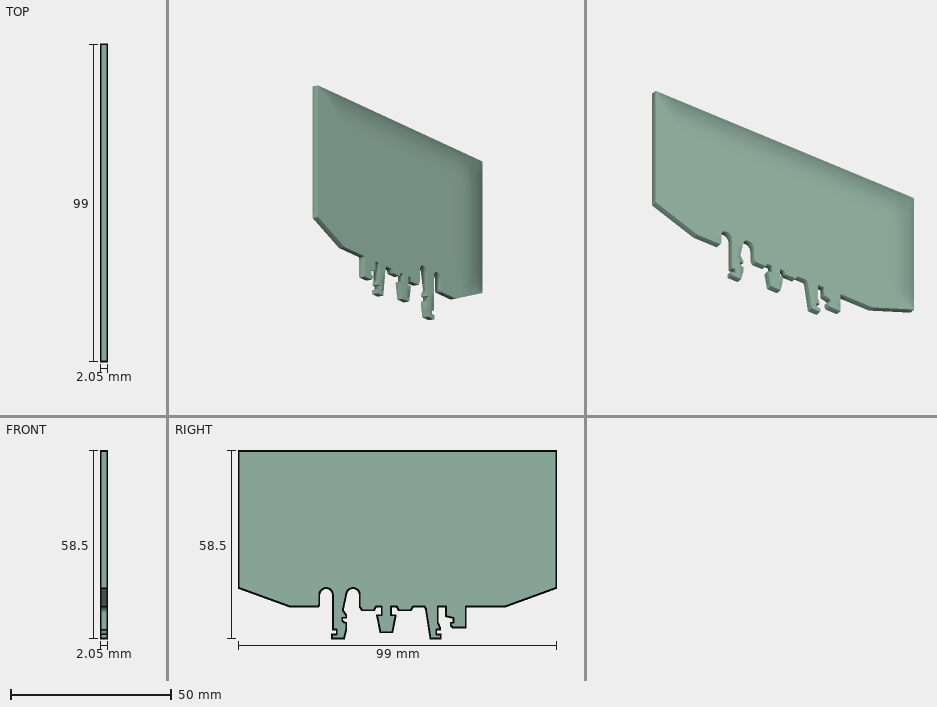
import math

import cadquery as cq

THICKNESS = 2.05
WIDTH = 99.0
HEIGHT = 58.5
EDGE_Z = 10.0
EDGE_HALF_WIDTH = 33.6
CORNER_ANGLE = 20.0

TOE_Z = 1.35
UNDERCUT_Z = 2.85

SLOT_TOP_Z = 15.75
SLOT_RADIUS = 2.07
SLOT_CENTER_Z = SLOT_TOP_Z - SLOT_RADIUS
LEFT_SLOT_Y = -13.87
RIGHT_SLOT_Y = -22.25
SLOT_LEAN = 12.0
SLOT_MOUTH_BREAK = 0.35
SLOT_MOUTH_BREAK_HEIGHT = 0.6

CLIP_Y = -3.47
STEM_HALF_WIDTH = 1.5
HEAD_TOP_Z = 7.33
HEAD_TOP_HALF_WIDTH = 2.95
HEAD_TIP_Z = 2.0
HEAD_TIP_HALF_WIDTH = 1.9
PAD_Z = 8.85
PAD_INNER = 3.25
PAD_OUTER = abs(LEFT_SLOT_Y - CLIP_Y) - SLOT_RADIUS
PAD_BEVEL_INNER = 0.55
PAD_BEVEL_OUTER = 0.7

HOOK_OUTER_Y = 21.35
HOOK_INNER_Y = 15.05
HOOK_TIP_Z = 3.48
HOOK_SHOULDER_Z = 7.0
HOOK_NOTCH_Y = 17.45
HOOK_NOTCH_TOP_Z = 6.42
HOOK_NOTCH_FLOOR_Z = 5.0
HOOK_LIP_Y = 16.55
HOOK_LIP_BEVEL = 0.6

OUTER_WALL_Y = 12.62
OUTER_BARB_TOP_Z = 4.95
OUTER_BARB_Y = 13.3
OUTER_BARB_TIP_Z = 3.4
OUTER_NOTCH_Y = 12.1
OUTER_TOE_Y = 13.55
OUTER_BACK_TIP_Y = 10.25
OUTER_BACK_TOP_Y = 8.8
OUTER_BACK_TOP_Z = 9.4
OUTER_BACK_ROOT_Y = 8.4

INNER_WALL_Y = RIGHT_SLOT_Y + SLOT_RADIUS
INNER_NOTCH_Y = -18.95
INNER_TOE_Y = -20.45
INNER_BACK_TIP_Y = -16.65
INNER_BACK_Y = -15.95
INNER_BACK_BEND_Z = 2.85
INNER_GROOVE_Y = -17.15
INNER_GROOVE_TOP_Z = 6.45
INNER_GROOVE_FLOOR_Z = 5.0
INNER_GROOVE_BEVEL = 0.6
INNER_BARB_Z = 7.3
INNER_WAIST_Z = 8.85


def extrude(outline):
    """Extrude a closed outline to the panel thickness, centered on X = 0."""
    return outline.extrude(THICKNESS / 2, both=True)


def plate(points):
    """Plate with straight sides through the given (Y, Z) corners."""
    return extrude(cq.Workplane("YZ").polyline(points).close())


def lean_wall_y(z):
    """Y of the leaning wall between the left slot and the inner finger."""
    lean = math.radians(SLOT_LEAN)
    reach = SLOT_RADIUS / math.cos(lean)
    return LEFT_SLOT_Y - reach - (SLOT_CENTER_Z - z) * math.tan(lean)


def panel():
    half_width = WIDTH / 2
    corner_rise = (half_width - EDGE_HALF_WIDTH) * math.tan(math.radians(CORNER_ANGLE))
    return plate([
        (half_width, HEIGHT),
        (half_width, EDGE_Z + corner_rise),
        (EDGE_HALF_WIDTH, EDGE_Z),
        (-EDGE_HALF_WIDTH, EDGE_Z),
        (-half_width, EDGE_Z + corner_rise),
        (-half_width, HEIGHT),
    ])


def left_slot():
    """Slot with one upright wall and one leaning wall tangent to its round top."""
    lean = math.radians(SLOT_LEAN)
    upright_y = LEFT_SLOT_Y + SLOT_RADIUS
    tangent_point = (
        LEFT_SLOT_Y - SLOT_RADIUS * math.cos(lean),
        SLOT_CENTER_Z + SLOT_RADIUS * math.sin(lean),
    )
    return extrude(
        cq.Workplane("YZ")
        .moveTo(upright_y, EDGE_Z)
        .lineTo(upright_y, SLOT_CENTER_Z)
        .threePointArc((LEFT_SLOT_Y, SLOT_TOP_Z), tangent_point)
        .lineTo(lean_wall_y(EDGE_Z), EDGE_Z)
        .close()
    )


def right_slot():
    """Slot with two upright walls, beveled where the far wall meets the edge."""
    far_y = RIGHT_SLOT_Y - SLOT_RADIUS
    return extrude(
        cq.Workplane("YZ")
        .moveTo(INNER_WALL_Y, EDGE_Z)
        .lineTo(INNER_WALL_Y, SLOT_CENTER_Z)
        .threePointArc((RIGHT_SLOT_Y, SLOT_TOP_Z), (far_y, SLOT_CENTER_Z))
        .lineTo(far_y, EDGE_Z + SLOT_MOUTH_BREAK_HEIGHT)
        .lineTo(far_y - SLOT_MOUTH_BREAK, EDGE_Z)
        .close()
    )


def center_clip():
    right_half = [
        (STEM_HALF_WIDTH, EDGE_Z),
        (STEM_HALF_WIDTH, HEAD_TOP_Z),
        (HEAD_TOP_HALF_WIDTH, HEAD_TOP_Z),
        (HEAD_TIP_HALF_WIDTH, HEAD_TIP_Z),
    ]
    one_side = [(CLIP_Y - offset, z) for offset, z in right_half]
    other_side = [(CLIP_Y + offset, z) for offset, z in reversed(right_half)]
    return plate(one_side + other_side)


def pad(side):
    """Beveled pad on the lower edge; side is +1 or -1 along Y from the clip."""
    return plate([
        (CLIP_Y + side * PAD_INNER, EDGE_Z),
        (CLIP_Y + side * (PAD_INNER + PAD_BEVEL_INNER), PAD_Z),
        (CLIP_Y + side * (PAD_OUTER - PAD_BEVEL_OUTER), PAD_Z),
        (CLIP_Y + side * PAD_OUTER, EDGE_Z),
    ])


def hook():
    return plate([
        (HOOK_OUTER_Y, EDGE_Z),
        (HOOK_OUTER_Y, HOOK_TIP_Z),
        (HOOK_LIP_Y + HOOK_LIP_BEVEL, HOOK_TIP_Z),
        (HOOK_LIP_Y, HOOK_TIP_Z + HOOK_LIP_BEVEL),
        (HOOK_LIP_Y, HOOK_NOTCH_FLOOR_Z),
        (HOOK_NOTCH_Y, HOOK_NOTCH_FLOOR_Z),
        (HOOK_NOTCH_Y, HOOK_NOTCH_TOP_Z),
        (HOOK_INNER_Y, HOOK_SHOULDER_Z),
        (HOOK_INNER_Y, EDGE_Z),
    ])


def outer_finger():
    return plate([
        (OUTER_WALL_Y, EDGE_Z),
        (OUTER_WALL_Y, OUTER_BARB_TOP_Z),
        (OUTER_BARB_Y, OUTER_BARB_TIP_Z),
        (OUTER_BARB_Y, UNDERCUT_Z),
        (OUTER_NOTCH_Y, UNDERCUT_Z),
        (OUTER_NOTCH_Y, TOE_Z),
        (OUTER_TOE_Y, TOE_Z),
        (OUTER_TOE_Y, 0),
        (OUTER_BACK_TIP_Y, 0),
        (OUTER_BACK_TOP_Y, OUTER_BACK_TOP_Z),
        (OUTER_BACK_ROOT_Y, EDGE_Z),
    ])


def inner_finger():
    return plate([
        (lean_wall_y(EDGE_Z), EDGE_Z),
        (lean_wall_y(INNER_WAIST_Z), INNER_WAIST_Z),
        (INNER_BACK_Y, INNER_BARB_Z),
        (INNER_BACK_Y, INNER_GROOVE_TOP_Z),
        (INNER_GROOVE_Y, INNER_GROOVE_TOP_Z),
        (INNER_GROOVE_Y, INNER_GROOVE_FLOOR_Z + INNER_GROOVE_BEVEL),
        (INNER_GROOVE_Y + INNER_GROOVE_BEVEL, INNER_GROOVE_FLOOR_Z),
        (INNER_BACK_Y, INNER_GROOVE_FLOOR_Z),
        (INNER_BACK_Y, INNER_BACK_BEND_Z),
        (INNER_BACK_TIP_Y, 0),
        (INNER_TOE_Y, 0),
        (INNER_TOE_Y, TOE_Z),
        (INNER_NOTCH_Y, TOE_Z),
        (INNER_NOTCH_Y, UNDERCUT_Z),
        (INNER_WALL_Y, UNDERCUT_Z),
        (INNER_WALL_Y, EDGE_Z),
    ])


result = panel().cut(left_slot()).cut(right_slot())
for feature in (hook(), outer_finger(), pad(1), center_clip(), pad(-1), inner_finger()):
    result = result.union(feature)
result = result.clean()